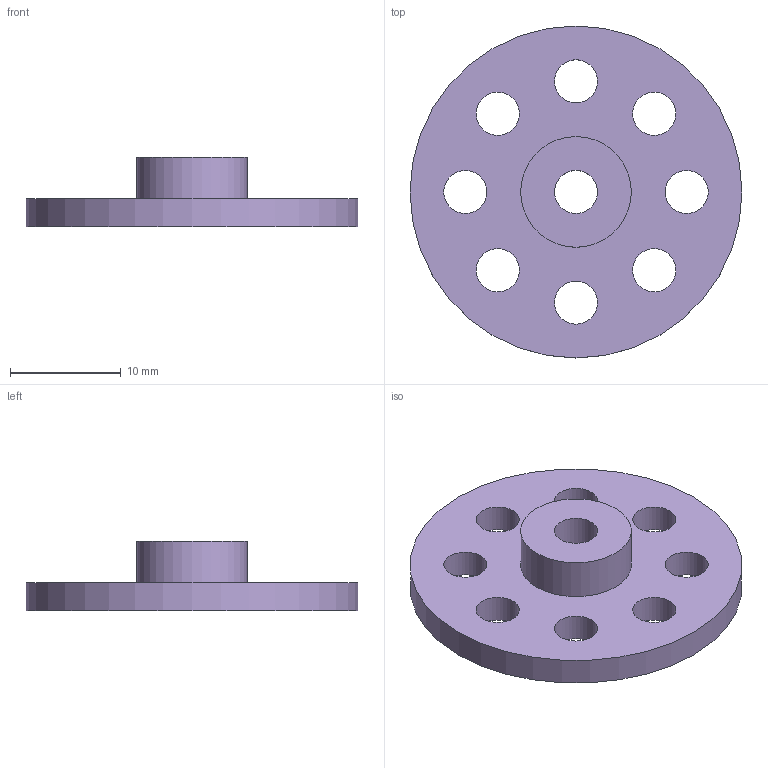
import cadquery as cq

disc_diameter = 30.0
disc_thickness = 2.5

hub_diameter = 10.0
overall_height = 6.25
hub_height = overall_height - disc_thickness

hole_diameter = 3.9
ring_hole_count = 8
hole_circle_radius = 10.0


def make_body():
    """Flat disc with a coaxial cylindrical hub on its upper face."""
    disc = cq.Workplane("XY").circle(disc_diameter / 2).extrude(disc_thickness)
    return disc.faces(">Z").workplane().circle(hub_diameter / 2).extrude(hub_height)


def make_hole_cutters():
    """Cylinders for the central bore and the ring of holes, as tall as the part."""
    bore = cq.Workplane("XY").circle(hole_diameter / 2).extrude(overall_height)
    ring = (
        cq.Workplane("XY")
        .polarArray(hole_circle_radius, 0, 360, ring_hole_count)
        .circle(hole_diameter / 2)
        .extrude(overall_height)
    )
    return bore.add(ring).combine()


result = make_body().cut(make_hole_cutters())